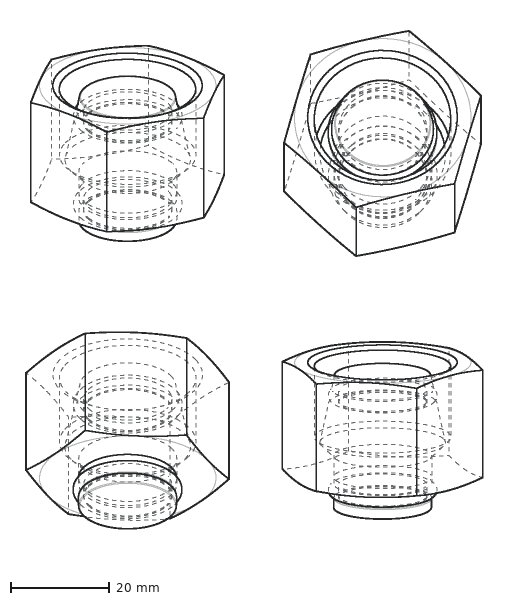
import cadquery as cq
import math

nut_height = 24.0
across_flats = 36.0
across_corners = across_flats / math.cos(math.radians(30))
hex_chamfer_angle = math.radians(15)
hex_chamfer_drop = (across_corners - across_flats) / 2 * math.tan(hex_chamfer_angle)

thread_radius = 27.84 / 2
mouth_radius = 30.5 / 2
mouth_slope = math.radians(30)
mouth_depth = (mouth_radius - thread_radius) * math.tan(mouth_slope)

plug_length = 28.0
plug_bottom = -6.52
plug_top = plug_bottom + plug_length
shank_radius = 20.0 / 2
cone_angle = math.radians(12)
cone_tip_radius = 9.78
cone_base_radius = 12.8
cone_base = plug_top - (cone_base_radius - cone_tip_radius) / math.tan(cone_angle)
shoulder_bottom = cone_base - (cone_base_radius - shank_radius)
seat_top = cone_base + (thread_radius - cone_base_radius)
edge_radius = 0.2

groove_floor_radius = 18.0 / 2
groove_width = 2.7
shank_groove_top = plug_bottom + 5.0
cone_groove_top = plug_top - 3.15
groove_tops = [shank_groove_top, cone_groove_top]
ring_outer_radius = 22.2 / 2
ring_section_radius = 2.4 / 2
ring_round_centre = ring_outer_radius - ring_section_radius


def revolve_profile(points):
    """Turn an outline of (radius, height) points about the Z axis."""
    return cq.Workplane("XZ").polyline(points).close().revolve(360, (0, 0, 0), (0, 1, 0))


def make_nut():
    hexagon = cq.Workplane("XY").polygon(6, across_corners).extrude(nut_height)
    turned_body = revolve_profile([
        (shank_radius, 0),
        (across_flats / 2, 0),
        (across_corners / 2, hex_chamfer_drop),
        (across_corners / 2, nut_height - hex_chamfer_drop),
        (across_flats / 2, nut_height),
        (mouth_radius, nut_height),
        (thread_radius, nut_height - mouth_depth),
        (thread_radius, seat_top),
        (shank_radius, shoulder_bottom),
    ])
    return hexagon.intersect(turned_body)


def make_groove(top):
    """Ring-shaped cutter for an O-ring groove whose upper wall is at the given height."""
    return (
        cq.Workplane("XY", origin=(0, 0, top - groove_width))
        .circle(cone_base_radius)
        .circle(groove_floor_radius)
        .extrude(groove_width)
    )


def make_plug():
    plug = revolve_profile([
        (0, plug_bottom),
        (shank_radius, plug_bottom),
        (shank_radius, shoulder_bottom),
        (cone_base_radius, cone_base),
        (cone_tip_radius, plug_top),
        (0, plug_top),
    ])
    rounded_heights = [plug_bottom, plug_top]
    for top in groove_tops:
        plug = plug.cut(make_groove(top))
        rounded_heights += [top, top - groove_width]

    def is_outer_rim(edge):
        if edge.geomType() != "CIRCLE" or edge.radius() < groove_floor_radius + edge_radius:
            return False
        return any(abs(edge.Center().z - height) < edge_radius for height in rounded_heights)

    return plug.edges().filter(is_outer_rim).fillet(edge_radius)


def make_o_ring(groove_top):
    """Ring with a half-round outside and a flat inside that bears on the groove floor."""
    ring_bottom = groove_top - 2 * ring_section_radius
    return (
        cq.Workplane("XZ")
        .moveTo(groove_floor_radius, ring_bottom)
        .lineTo(ring_round_centre, ring_bottom)
        .threePointArc((ring_outer_radius, groove_top - ring_section_radius), (ring_round_centre, groove_top))
        .lineTo(groove_floor_radius, groove_top)
        .close()
        .revolve(360, (0, 0, 0), (0, 1, 0))
    )


nut = make_nut()
plug = make_plug()
o_rings = [make_o_ring(top) for top in groove_tops]

result = cq.Compound.makeCompound([nut.val(), plug.val(), *[ring.val() for ring in o_rings]])